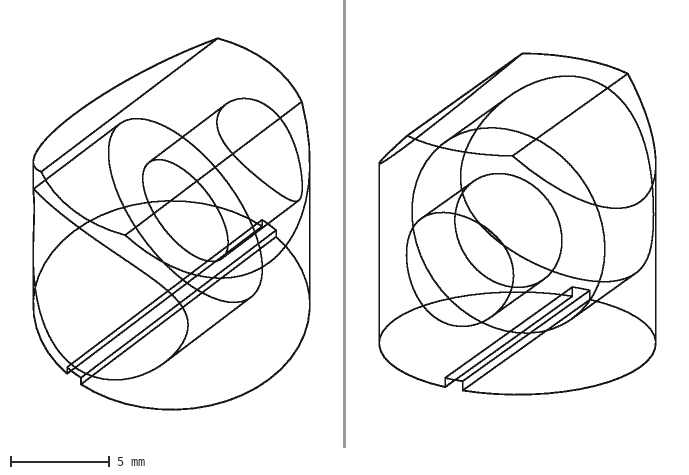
import cadquery as cq

body_diameter = 14.0
body_height = 13.0
body_radius = body_diameter / 2

top_flat_width = 6.0
bevel_drop = body_radius - top_flat_width / 2

counterbore_diameter = 11.0
through_hole_diameter = 6.1
counterbore_floor_y = 1.0
hole_height = body_height / 2

slot_width = 1.0
slot_depth = 0.5


def make_body():
    """Cylinder bevelled on its -X and +X sides."""
    profile = (
        cq.Workplane("XZ")
        .moveTo(-body_radius, 0)
        .lineTo(body_radius, 0)
        .lineTo(body_radius, body_height - bevel_drop)
        .lineTo(top_flat_width / 2, body_height)
        .lineTo(-top_flat_width / 2, body_height)
        .lineTo(-body_radius, body_height - bevel_drop)
        .close()
        .extrude(body_radius, both=True)
    )
    cylinder = cq.Workplane("XY").circle(body_radius).extrude(body_height)
    return cylinder.intersect(profile)


def make_cross_bore(diameter, end_y):
    """Cylinder along Y from the -Y side of the body to end_y."""
    return (
        cq.Workplane("XZ", origin=(0, -body_radius, hole_height))
        .circle(diameter / 2)
        .extrude(-(end_y + body_radius))
    )


def make_slot():
    """Full-length groove along Y in the bottom face."""
    return cq.Workplane("XY").box(
        slot_width, body_diameter, slot_depth, centered=(True, True, False)
    )


result = (
    make_body()
    .cut(make_cross_bore(counterbore_diameter, counterbore_floor_y))
    .cut(make_cross_bore(through_hole_diameter, body_radius))
    .cut(make_slot())
)